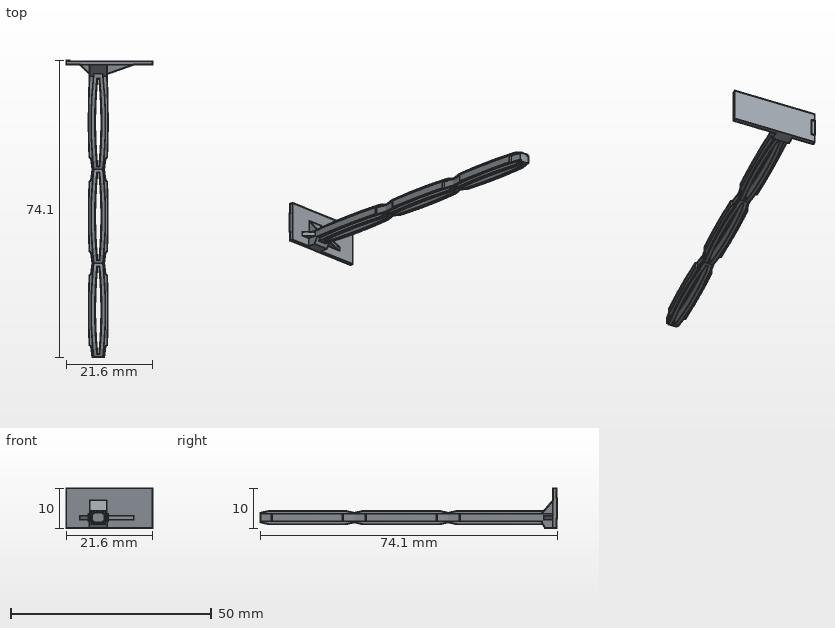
import cadquery as cq
import math

plate_length = 21.6
plate_height = 10.0
plate_thickness = 0.9
pad_width = 0.9
pad_height = 5.1
pad_bottom = 2.4
pad_thickness = 0.22

shaft_x = 8.0
shaft_z = 2.65
shaft_length = 73.0
link_count = 3
link_pitch = 23.42
root_depth = shaft_length - link_count * link_pitch

flange_height = 1.8
flange_node_half = 1.5
flange_root_half = 2.2
flange_shoulder_half = 2.25
flange_mid_half = 2.45
neck_half = 1.85
neck_length = 2.75
shoulder_run = 0.25

core_height = 3.35
core_node_height = 2.4
core_node_half = 1.15
core_mid_half = 1.8
ramp_length = 2.1

slot_end_gap = 0.85
slot_end_half = 0.2
slot_mid_half = 0.72
slot_draft = 5.0

gusset_half_width = 2.1
gusset_top = 6.95
gusset_depth = 2.95
foot_depth = 2.0
fin_thickness = 1.0
fin_depth = 2.4
left_fin_end = 3.4
right_fin_end = 16.9


def layer(outline, height):
    """Extrude a shaft-plane outline symmetrically about the shaft axis."""
    return outline.extrude(height / 2, both=True)


def shaft_plane():
    """XY workplane whose origin is on the shaft axis at the plate front."""
    return cq.Workplane("XY", origin=(shaft_x, 0, shaft_z))


def make_plate():
    plate = cq.Workplane("XY").box(plate_length, plate_thickness, plate_height, centered=False)
    pad = cq.Workplane("XY").box(pad_width, pad_thickness, pad_height, centered=False)
    return plate.union(pad.translate((0, plate_thickness, pad_bottom)))


def make_gusset():
    flange_top = shaft_z + flange_height / 2
    return (
        cq.Workplane("YZ", origin=(shaft_x, 0, 0))
        .polyline([(0, flange_top), (0, gusset_top), (-gusset_depth, flange_top)])
        .close()
        .extrude(gusset_half_width, both=True)
    )


def make_foot():
    """Block from the plate's lower edge to the flange top, flush with the flange sides."""
    flange_top = shaft_z + flange_height / 2
    flange_bottom = shaft_z - flange_height / 2
    return (
        cq.Workplane("YZ", origin=(shaft_x, 0, 0))
        .polyline([
            (0, 0),
            (0, flange_top),
            (-gusset_depth, flange_top),
            (-gusset_depth, flange_bottom),
            (-foot_depth, 0),
        ])
        .close()
        .extrude(flange_root_half, both=True)
    )


def make_core_root():
    """Stretch of core that joins the first link to the plate through the gusset."""
    outline = shaft_plane().center(0, -root_depth / 2).rect(2 * core_node_half, root_depth)
    return layer(outline, core_height)


def make_fins():
    left = left_fin_end - shaft_x
    right = right_fin_end - shaft_x
    outline = (
        shaft_plane()
        .moveTo(left, 0)
        .lineTo(-gusset_half_width, -fin_depth)
        .lineTo(gusset_half_width, -fin_depth)
        .lineTo(right, 0)
        .close()
    )
    return layer(outline, fin_thickness)


def bow_point(half_length, end_half, mid_half):
    """Half-width midway along an arc that is parallel to the shaft at its widest point."""
    sag = mid_half - end_half
    radius = (half_length**2 + sag**2) / (2 * sag)
    return mid_half - radius + math.sqrt(radius**2 - half_length**2 / 4)


def bowed_outline(start, middle, end, start_half, mid_half, end_half):
    """Closed outline through three y stations with both long sides bowed outward."""
    start_bow = bow_point(start - middle, start_half, mid_half)
    end_bow = bow_point(middle - end, end_half, mid_half)
    start_quarter = (start + middle) / 2
    end_quarter = (middle + end) / 2
    return (
        shaft_plane()
        .moveTo(-start_half, start)
        .threePointArc((-start_bow, start_quarter), (-mid_half, middle))
        .threePointArc((-end_bow, end_quarter), (-end_half, end))
        .lineTo(end_half, end)
        .threePointArc((end_bow, end_quarter), (mid_half, middle))
        .threePointArc((start_bow, start_quarter), (start_half, start))
        .close()
    )


def make_neck(node, direction):
    """Narrow flange stretch from a node to the shoulder of the link body."""
    neck_end = node + direction * neck_length
    shoulder = neck_end + direction * shoulder_run
    outline = shaft_plane().polyline([
        (-flange_node_half, node),
        (-neck_half, neck_end),
        (-flange_shoulder_half, shoulder),
        (flange_shoulder_half, shoulder),
        (neck_half, neck_end),
        (flange_node_half, node),
    ]).close()
    return layer(outline, flange_height)


def make_core(start, end, is_first):
    """Full-height core of one link, ramped to its nodes; the first link stays full at the root."""
    middle = (start + end) / 2
    outline = bowed_outline(start, middle, end, core_node_half, core_mid_half, core_node_half)
    blank = layer(outline, core_height)
    full = core_height / 2
    low = core_node_height / 2
    start_half = full if is_first else low
    side_profile = (
        cq.Workplane("YZ", origin=(shaft_x, 0, shaft_z))
        .polyline([
            (start, start_half),
            (start - ramp_length, full),
            (end + ramp_length, full),
            (end, low),
            (end, -low),
            (end + ramp_length, -full),
            (start - ramp_length, -full),
            (start, -start_half),
        ])
        .close()
        .extrude(core_mid_half, both=True)
    )
    return blank.intersect(side_profile)


def make_slot(start, end):
    """Through slot that is narrowest at mid height and opens with draft toward top and bottom."""
    middle = (start + end) / 2
    outline = bowed_outline(
        start - slot_end_gap, middle, end + slot_end_gap, slot_end_half, slot_mid_half, slot_end_half
    )
    upper = outline.extrude(core_height / 2, taper=-slot_draft)
    lower = upper.mirror("XY", (0, 0, shaft_z))
    return upper.union(lower)


def make_link(index):
    is_first = index == 0
    start = -root_depth - index * link_pitch
    end = start - link_pitch
    middle = (start + end) / 2
    shoulder_inset = neck_length + shoulder_run
    body_start = start if is_first else start - shoulder_inset
    body_start_half = flange_root_half if is_first else flange_shoulder_half
    body_end = end + shoulder_inset
    outline = bowed_outline(
        body_start, middle, body_end, body_start_half, flange_mid_half, flange_shoulder_half
    )
    link = layer(outline, flange_height)
    link = link.union(make_neck(end, 1))
    if not is_first:
        link = link.union(make_neck(start, -1))
    link = link.union(make_core(start, end, is_first))
    return link.cut(make_slot(start, end))


result = make_plate().union(make_gusset()).union(make_foot())
result = result.union(make_core_root()).union(make_fins())
for link_index in range(link_count):
    result = result.union(make_link(link_index))